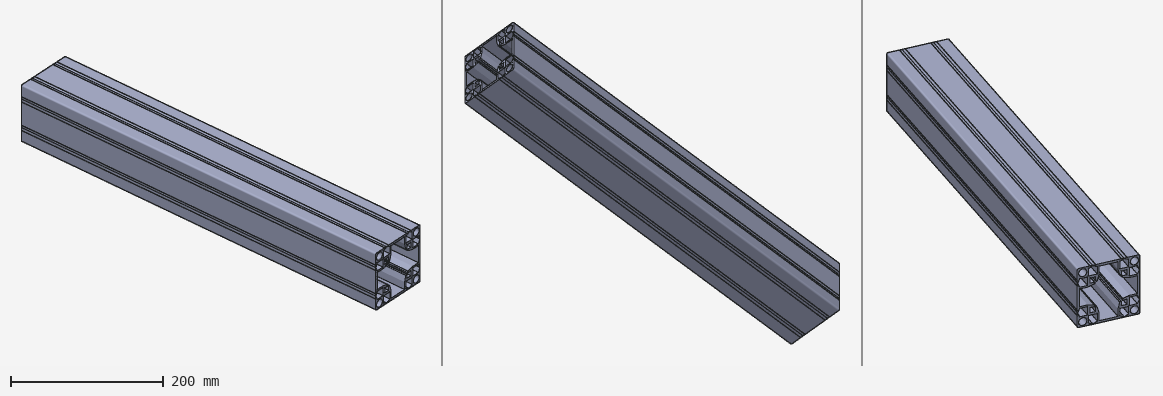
import cadquery as cq
import math

LENGTH = 609.6
SIDE = 90.0
HALF = SIDE / 2
CORNER_RADIUS = 2.5

SLOT_CENTER = SIDE / 4

OUTER_WALL = 3.5
POST_REACH = 31.5
FACET_START = 15.0
FACET_ANGLE = 15.0
FACET_END = 24.5

CORNER_BORE_DIAMETER = 11.7
CORNER_BORE_CENTER = 7.9

SLOT_WIDTH = 12.8
SLOT_FLOOR = 14.9
SLOT_SHOULDER = 3.6
SLOT_RIDGE = 0.7

CORE_SIDE = 7.7
SLIT_WIDTH = 2.4

GROOVE_SPACING = 8.2
GROOVE_WIDTH = 0.3
GROOVE_DEPTH = 0.3


def prism(points):
    """Full-length prism from (depth from -Y face, depth from -Z face) points."""
    outline = [(depth_y - HALF, depth_z - HALF) for depth_y, depth_z in points]
    return cq.Workplane("YZ").polyline(outline).close().extrude(LENGTH)


def swapped(points):
    """Mirror a profile about the corner diagonal."""
    return [(second, first) for first, second in points]


def outer_bar():
    bar = cq.Workplane("YZ").rect(SIDE, SIDE).extrude(LENGTH)
    return bar.edges("|X").fillet(CORNER_RADIUS)


def post_profile():
    """Corner post: sides slope gently in from the chamber walls, then a flat cuts off the corner."""
    shoulder = POST_REACH - (FACET_END - FACET_START) * math.tan(math.radians(FACET_ANGLE))
    return [
        (0, 0),
        (POST_REACH, 0),
        (POST_REACH, FACET_START),
        (shoulder, FACET_END),
        (FACET_END, shoulder),
        (FACET_START, POST_REACH),
        (0, POST_REACH),
    ]


def central_chamber():
    """Cross-shaped opening: an inner square less the four corner posts."""
    inner_side = SIDE - 2 * OUTER_WALL
    chamber = cq.Workplane("YZ").rect(inner_side, inner_side).extrude(LENGTH)
    post = prism(post_profile())
    for quarter in range(4):
        chamber = chamber.cut(post.rotate((0, 0, 0), (1, 0, 0), 90 * quarter))
    return chamber


def corner_bore():
    center = CORNER_BORE_CENTER - HALF
    return cq.Workplane("YZ").center(center, center).circle(CORNER_BORE_DIAMETER / 2).extrude(LENGTH)


def slot_profile():
    """Flat-floored slot with straight sides and a pitched roof under the outer face."""
    near = SLOT_CENTER - SLOT_WIDTH / 2
    far = SLOT_CENTER + SLOT_WIDTH / 2
    return [
        (near, SLOT_FLOOR),
        (near, SLOT_SHOULDER),
        (SLOT_CENTER, SLOT_RIDGE),
        (far, SLOT_SHOULDER),
        (far, SLOT_FLOOR),
    ]


def core_channel():
    center = SLOT_CENTER - HALF
    return cq.Workplane("YZ").center(center, center).rect(CORE_SIDE, CORE_SIDE).extrude(LENGTH)


def core_slit():
    """Diagonal slit from the core channel through the flat of the post."""
    offset = SLIT_WIDTH / 2 * math.sin(math.radians(45))
    start = SLOT_CENTER
    end = POST_REACH
    return prism([
        (start - offset, start + offset),
        (start + offset, start - offset),
        (end + offset, end - offset),
        (end - offset, end + offset),
    ])


def groove_profile(across):
    """Shallow V in an outer face, centered at a distance across that face from the corner."""
    half_width = GROOVE_WIDTH / 2
    return [(across - half_width, 0), (across, GROOVE_DEPTH), (across + half_width, 0)]


def quadrant_cuts():
    """All channels and grooves of the -Y, -Z quadrant."""
    profiles = [
        slot_profile(),
        groove_profile(SLOT_CENTER - GROOVE_SPACING / 2),
        groove_profile(SLOT_CENTER + GROOVE_SPACING / 2),
    ]
    cuts = [corner_bore(), core_channel(), core_slit()]
    for profile in profiles:
        cuts.append(prism(profile))
        cuts.append(prism(swapped(profile)))
    return cuts


def build():
    part = outer_bar().cut(central_chamber())
    for cut in quadrant_cuts():
        for quarter in range(4):
            part = part.cut(cut.rotate((0, 0, 0), (1, 0, 0), 90 * quarter))
    return part


result = build()